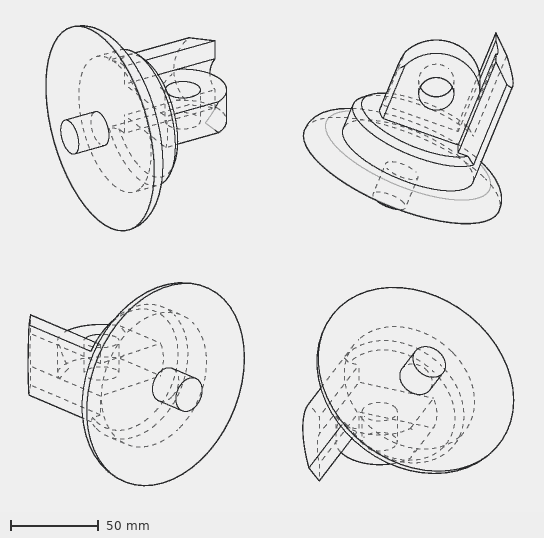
import cadquery as cq
import math

flange_radius = 60.0
flange_thickness = flange_radius / 6
flange_rim_land = 0.4
pin_radius = flange_radius / 6
pin_length = 2 * pin_radius
hub_radius = flange_radius * 2 / 3
hub_end = 3 * flange_thickness
hub_chamfer = 4.0

lug_radius = 25.0
lug_half_thickness = pin_radius
hole_radius = pin_radius
hole_y = 55.0

arm_half_width = 21.6
arm_end = 90.0
arm_inner_x = -math.sqrt(lug_radius**2 - lug_half_thickness**2)


def rod(radius, start, end):
    """Cylinder along Y between two stations."""
    return cq.Workplane("XZ", origin=(0, start, 0)).circle(radius).extrude(start - end)


def make_lug():
    """Flat round-ended lug with cylindrical sides."""
    profile = (
        cq.Workplane("XY")
        .workplane(offset=-lug_half_thickness)
        .moveTo(-lug_radius, flange_thickness)
        .lineTo(lug_radius, flange_thickness)
        .lineTo(lug_radius, hole_y)
        .threePointArc((0, hole_y + lug_radius), (-lug_radius, hole_y))
        .close()
        .extrude(2 * lug_half_thickness)
    )
    return profile.intersect(rod(lug_radius, 0, arm_end))


def make_arm():
    """Side arm with a cylindrical back and a 45 degree end, hollowed to clear the lug."""
    outer_end = arm_end - (hub_radius + arm_inner_x)
    blank = (
        cq.Workplane("XY")
        .workplane(offset=-arm_half_width)
        .moveTo(-hub_radius, flange_thickness)
        .lineTo(arm_inner_x, flange_thickness)
        .lineTo(arm_inner_x, arm_end)
        .lineTo(-hub_radius, outer_end)
        .close()
        .extrude(2 * arm_half_width)
    )
    return blank.intersect(rod(hub_radius, 0, arm_end)).cut(rod(lug_radius, 0, arm_end))


flange = rod(flange_radius, 0, flange_thickness)
flange = flange.faces(">Y").edges().fillet(flange_thickness - flange_rim_land)
hub = rod(hub_radius, flange_thickness, hub_end).faces(">Y").edges().chamfer(hub_chamfer)
pin = rod(pin_radius, -pin_length, 0)
hole = (
    cq.Workplane("XY")
    .workplane(offset=-lug_half_thickness)
    .center(0, hole_y)
    .circle(hole_radius)
    .extrude(2 * lug_half_thickness)
)

result = flange.union(hub).union(pin).union(make_arm()).union(make_lug()).cut(hole)